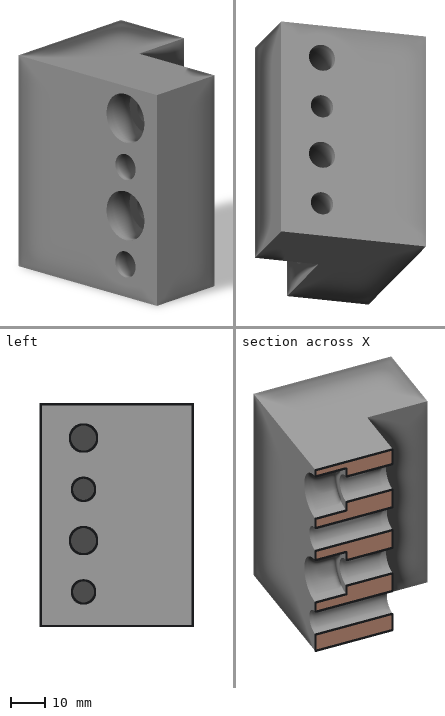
import cadquery as cq

width = 55.0
depth = 44.5
height = 65.0
leg_thickness = 25.0

hole_pitch = 15.0
lowest_hole_z = 10.0
hole_heights = [lowest_hole_z + i * hole_pitch for i in range(4)]
lower_heights = hole_heights[0::2]
upper_heights = hole_heights[1::2]

front_hole_x = 42.5
dowel_diameter = 8.0
screw_diameter = 9.0
counterbore_diameter = 15.0
counterbore_depth = 10.0

side_hole_y = 32.0
tapped_diameter = 6.8
side_hole_depth = 20.0


def hole_along_y(z, diameter, length):
    """Cylinder starting at the front face and running toward +Y."""
    start = cq.Vector(front_hole_x, 0, z)
    solid = cq.Solid.makeCylinder(diameter / 2, length, start, cq.Vector(0, 1, 0))
    return cq.Workplane(solid)


def hole_along_x(z, diameter):
    """Blind cylinder starting at the side face and running toward +X."""
    start = cq.Vector(0, side_hole_y, z)
    solid = cq.Solid.makeCylinder(diameter / 2, side_hole_depth, start, cq.Vector(1, 0, 0))
    return cq.Workplane(solid)


result = (
    cq.Workplane("XY")
    .polyline([
        (0, 0),
        (width, 0),
        (width, leg_thickness),
        (leg_thickness, leg_thickness),
        (leg_thickness, depth),
        (0, depth),
    ])
    .close()
    .extrude(height)
)

for z in lower_heights:
    result = result.cut(hole_along_y(z, dowel_diameter, leg_thickness))
    result = result.cut(hole_along_x(z, tapped_diameter))

for z in upper_heights:
    result = result.cut(hole_along_y(z, screw_diameter, leg_thickness))
    result = result.cut(hole_along_y(z, counterbore_diameter, counterbore_depth))
    result = result.cut(hole_along_x(z, dowel_diameter))